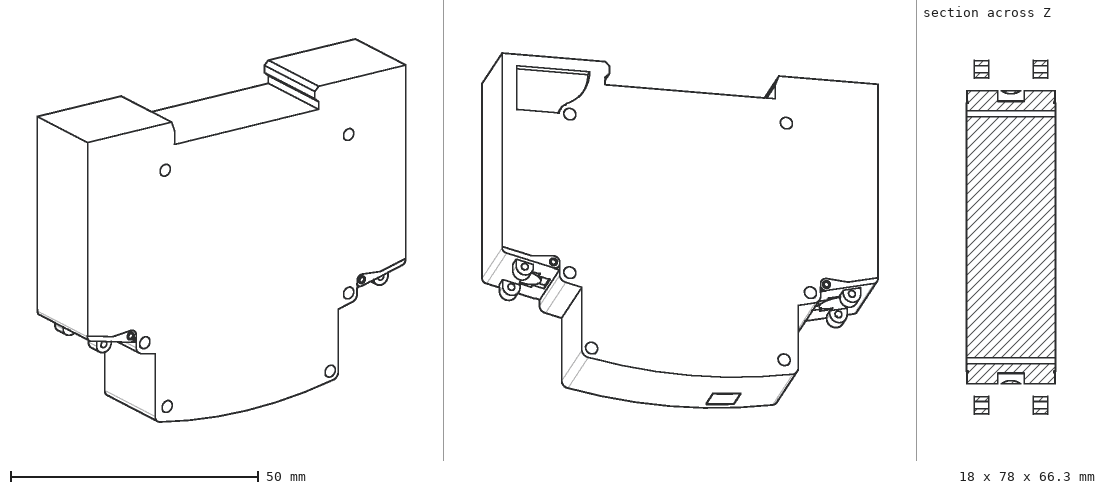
import cadquery as cq
import math

WIDTH = 18.0
LENGTH = 78.0
HEIGHT = 66.3
SIDE_X = WIDTH / 2
END_Y = LENGTH / 2

SLOT_HALF = 17.6
SLOT_FLOOR_Z = 61.3
HOOK_REACH = 0.9
HOOK_TOP_Z = 65.4
HOOK_LOW_Z = 63.8
HOOK_ROOT_Z = 62.95
LEAD_IN_Y = 0.8
LEAD_IN_Z = 64.2

SLOPE_ANGLE = 13.5
SLOPE = math.tan(math.radians(SLOPE_ANGLE))
SHOULDER_Y = 27.1
SHOULDER_FOOT_Z = 17.1
NECK_Y = 22.5
SHOULDER_RADIUS = 1.55
NECK_RADIUS = 1.55
BOTTOM_RADIUS = 109.2

FLAP_TIP_Z = 23.4
FLAP_TOP_Z = 24.5
FLAP_TIP_RADIUS = 1.2
FLAP_BEND = (32.75, 23.0)
FLAP_INSET = 0.1
PIVOT = (28.3, 22.15)
KNUCKLE_RADIUS = PIVOT[0] - SHOULDER_Y
PIN_RADIUS = 0.55
PIN_HOLE_RADIUS = 0.8
PIN_GAP_DEPTH = 0.2
HEEL_RELIEF = 0.3
HEEL_RADIUS = 1.4

EYELET_CENTER = (33.9, 21.1)
EYELET_RADIUS = 1.8
EYELET_HOLE_RADIUS = 0.7
EYELET_WIDTH = 3.0
EYELET_SPACING = 11.9

TAB_RADIUS = 3.1
TAB_Y = 32.0
TAB_RECESS_DEPTH = 0.8
TAB_FRONT_HALF = 2.65
TAB_FRONT_Y = 27.45
TAB_SIDE_HALF = 3.8
TAB_SIDE_Y = 29.9
TAB_END_Y = 32.45

RIVET_DIAMETER = 2.5
RIVETS = [(24.95, 54.3), (-20.0, 56.2), (24.95, 20.05), (-24.95, 20.05), (20.4, 4.1), (-19.5, 5.1)]

WINDOW_OUTER_Y = 35.95
WINDOW_INNER_Y = 20.8
WINDOW_TOP_Z = 63.8
WINDOW_BOTTOM_Z = 54.4
WINDOW_DEPTH = 1.7
RIVET_BOSS_RADIUS = 2.2
WINDOW_ARC_MID = (22.15, 59.4)
WINDOW_ARC_END_Y = 25.75

LABEL_X = (0.8, 6.95)
LABEL_Y = (-12.8, -7.0)
LABEL_DEPTH = 0.15


def underside_z(y):
    """Height of the sloping flap underside at distance y from the middle."""
    return FLAP_TIP_Z - (END_Y - y) * SLOPE


def bottom_z(y):
    """Height of the curved bottom at distance y from the middle."""
    return BOTTOM_RADIUS - math.sqrt(BOTTOM_RADIUS**2 - y**2)


def side_plane(x):
    """Sketch plane across the width: local axes are Y and Z."""
    return cq.Workplane("YZ", origin=(x, 0, 0))


def at_both_ends(shape):
    return shape.union(shape.mirror("XZ"))


def round_edges(body, y, z, radius):
    """Round the full-width edges at +y and -y."""
    for edge_y in (y, -y):
        body = body.edges(cq.selectors.NearestToPointSelector((0, edge_y, z))).fillet(radius)
    return body


def make_housing():
    neck_z = bottom_z(NECK_Y)
    shoulder_z = SHOULDER_FOOT_Z + (SHOULDER_Y - NECK_Y) * SLOPE
    lower_end = [
        (END_Y, FLAP_TIP_Z),
        (SHOULDER_Y, underside_z(SHOULDER_Y)),
        (SHOULDER_Y, shoulder_z),
        (NECK_Y, SHOULDER_FOOT_Z),
        (NECK_Y, neck_z),
    ]
    rail_slot = [
        (-END_Y, HEIGHT),
        (-SLOT_HALF - LEAD_IN_Y, HEIGHT),
        (-SLOT_HALF, LEAD_IN_Z),
        (-SLOT_HALF, SLOT_FLOOR_Z),
        (SLOT_HALF, SLOT_FLOOR_Z),
        (SLOT_HALF, HOOK_ROOT_Z),
        (SLOT_HALF - HOOK_REACH, HOOK_LOW_Z),
        (SLOT_HALF - HOOK_REACH, HOOK_TOP_Z),
        (SLOT_HALF, HEIGHT),
        (END_Y, HEIGHT),
    ]
    mirrored_end = [(-y, z) for y, z in reversed(lower_end)]
    body = (
        side_plane(-SIDE_X)
        .polyline(rail_slot + lower_end)
        .threePointArc((0, 0), (-NECK_Y, neck_z))
        .polyline(mirrored_end[1:], includeCurrent=True)
        .close()
        .extrude(WIDTH)
    )
    body = round_edges(body, END_Y, FLAP_TIP_Z, FLAP_TIP_RADIUS)
    body = round_edges(body, SHOULDER_Y, shoulder_z, SHOULDER_RADIUS)
    return round_edges(body, NECK_Y, neck_z, NECK_RADIUS)


def flap_side_cut(x, depth):
    """Recess that sets one side of the +Y flap in from the housing side."""
    pivot_y, pivot_z = PIVOT
    diagonal = KNUCKLE_RADIUS * math.sqrt(0.5)
    return (
        side_plane(x)
        .moveTo(END_Y, FLAP_TOP_Z)
        .lineTo(*FLAP_BEND)
        .lineTo(pivot_y, pivot_z + KNUCKLE_RADIUS)
        .threePointArc((pivot_y - diagonal, pivot_z + diagonal), (SHOULDER_Y, pivot_z))
        .lineTo(SHOULDER_Y, underside_z(SHOULDER_Y))
        .lineTo(END_Y, FLAP_TIP_Z)
        .close()
        .extrude(depth)
    )


def hinge_cut(x, direction):
    """Gap around the hinge pin, and the relieved heel below the knuckle."""
    pin_gap = (
        side_plane(x)
        .center(*PIVOT)
        .circle(PIN_HOLE_RADIUS)
        .circle(PIN_RADIUS)
        .extrude(direction * PIN_GAP_DEPTH)
    )
    heel_corner = (SHOULDER_Y, underside_z(SHOULDER_Y))
    heel = (
        side_plane(x)
        .polyline([heel_corner, (PIVOT[0], underside_z(PIVOT[0])), PIVOT, (SHOULDER_Y, PIVOT[1])])
        .close()
        .extrude(direction * HEEL_RELIEF)
    )
    knuckle = side_plane(x).center(*PIVOT).circle(HEEL_RADIUS).extrude(direction * HEEL_RELIEF)
    return pin_gap.union(heel.cut(knuckle))


def make_eyelets():
    y, z = EYELET_CENTER
    root_z = FLAP_BEND[1]
    eyelets = cq.Workplane()
    for x in (-EYELET_SPACING / 2, EYELET_SPACING / 2):
        eyelet = (
            side_plane(x)
            .moveTo(y - EYELET_RADIUS, root_z)
            .lineTo(y - EYELET_RADIUS, z)
            .threePointArc((y, z - EYELET_RADIUS), (y + EYELET_RADIUS, z))
            .lineTo(y + EYELET_RADIUS, root_z)
            .close()
            .extrude(EYELET_WIDTH / 2, both=True)
        )
        hole = side_plane(x).center(y, z).circle(EYELET_HOLE_RADIUS).extrude(EYELET_WIDTH / 2, both=True)
        eyelets = eyelets.add(eyelet.cut(hole))
    return at_both_ends(eyelets.combine())


def make_tab_recess():
    """Recess sunk square to the flap underside around a round tab."""
    slope_plane = cq.Plane(
        origin=(0, TAB_Y, underside_z(TAB_Y)),
        xDir=(1, 0, 0),
        normal=(0, -SLOPE, 1),
    )

    def block(half_width, start_y):
        return (
            cq.Workplane(slope_plane)
            .moveTo(-half_width, start_y - TAB_Y)
            .lineTo(half_width, start_y - TAB_Y)
            .lineTo(half_width, TAB_END_Y - TAB_Y)
            .lineTo(-half_width, TAB_END_Y - TAB_Y)
            .close()
            .extrude(TAB_RECESS_DEPTH)
        )

    tab = cq.Workplane(slope_plane).circle(TAB_RADIUS).extrude(TAB_RECESS_DEPTH)
    return block(TAB_FRONT_HALF, TAB_FRONT_Y).union(block(TAB_SIDE_HALF, TAB_SIDE_Y)).cut(tab)


def make_window():
    rivet_y, rivet_z = RIVETS[0]
    boss = side_plane(-SIDE_X).center(rivet_y, rivet_z).circle(RIVET_BOSS_RADIUS).extrude(WINDOW_DEPTH)
    arc_end = (WINDOW_ARC_END_Y, rivet_z + RIVET_BOSS_RADIUS)
    window = (
        side_plane(-SIDE_X)
        .moveTo(WINDOW_OUTER_Y, WINDOW_BOTTOM_Z)
        .lineTo(WINDOW_OUTER_Y, WINDOW_TOP_Z)
        .lineTo(WINDOW_INNER_Y, WINDOW_TOP_Z)
        .threePointArc(WINDOW_ARC_MID, arc_end)
        .lineTo(rivet_y, rivet_z)
        .lineTo(rivet_y + RIVET_BOSS_RADIUS, WINDOW_BOTTOM_Z)
        .close()
        .extrude(WINDOW_DEPTH)
    )
    return window.cut(boss)


def make_label_recess():
    """Shallow recess of even depth that follows the curved bottom."""
    outline = (
        cq.Workplane("XY")
        .moveTo(LABEL_X[0], LABEL_Y[0])
        .lineTo(LABEL_X[1], LABEL_Y[0])
        .lineTo(LABEL_X[1], LABEL_Y[1])
        .lineTo(LABEL_X[0], LABEL_Y[1])
        .close()
        .extrude(bottom_z(LABEL_Y[0]) + LABEL_DEPTH)
    )
    core_radius = BOTTOM_RADIUS - LABEL_DEPTH
    core = side_plane(-SIDE_X).center(0, BOTTOM_RADIUS).circle(core_radius).extrude(WIDTH)
    return outline.cut(core)


result = make_housing()
for side in (-1, 1):
    face_x = side * SIDE_X
    result = result.cut(at_both_ends(flap_side_cut(face_x, -side * FLAP_INSET)))
    result = result.cut(at_both_ends(hinge_cut(face_x, -side)))
result = result.cut(at_both_ends(make_tab_recess()))
result = result.union(make_eyelets())
result = result.cut(make_window())
result = result.cut(make_label_recess())
rivet_holes = side_plane(-SIDE_X).pushPoints(RIVETS).circle(RIVET_DIAMETER / 2).extrude(WIDTH)
result = result.cut(rivet_holes)